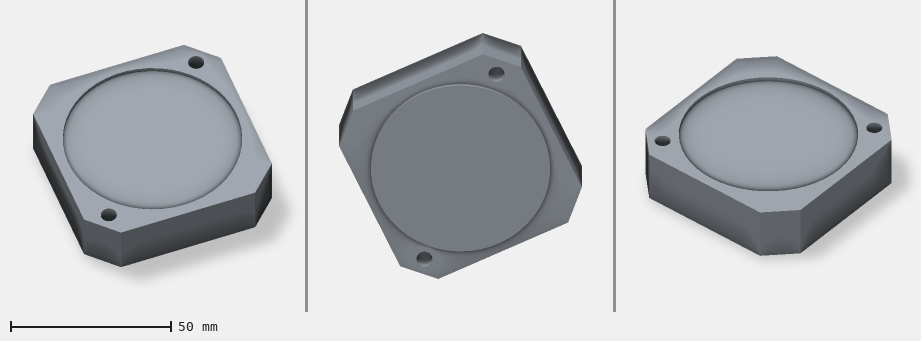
import cadquery as cq

side = 62.75
total_height = 19.0
corner_cut = 9.0

spigot_diameter = 56.0
spigot_height = 1.5
recess_diameter = spigot_diameter
recess_depth = 1.5

hole_diameter = 5.0
hole_offset = 23.45

body_height = total_height - spigot_height


def make_body():
    """Octagonal block with its underside at Z = 0."""
    block = cq.Workplane("XY").box(side, side, body_height, centered=(True, True, False))
    return block.edges("|Z").chamfer(corner_cut)


def add_spigot(body):
    """Shallow disc below the block."""
    return body.union(cq.Workplane("XY").circle(spigot_diameter / 2).extrude(-spigot_height))


def cut_recess(body):
    """Shallow round pocket in the top face."""
    pocket = cq.Workplane("XY").workplane(offset=body_height).circle(recess_diameter / 2)
    return body.cut(pocket.extrude(-recess_depth))


def cut_corner_holes(body):
    """Two holes on one diagonal, running the full height."""
    centers = [(-hole_offset, hole_offset), (hole_offset, -hole_offset)]
    holes = cq.Workplane("XY").workplane(offset=-spigot_height).pushPoints(centers)
    return body.cut(holes.circle(hole_diameter / 2).extrude(total_height))


result = cut_corner_holes(cut_recess(add_spigot(make_body())))